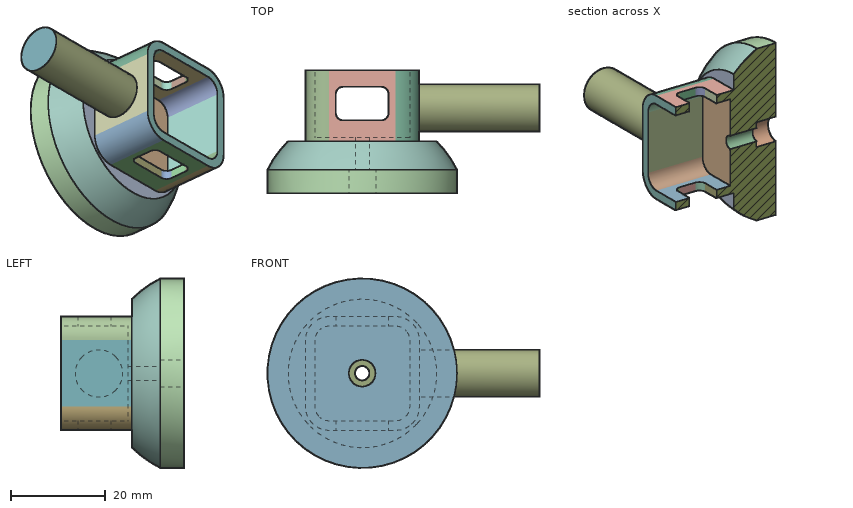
import cadquery as cq
import math

base_diameter = 40.0
base_radius = base_diameter / 2
rim_thickness = 5.0
dome_top_radius = 15.65
dome_top_y = 11.0

total_depth = 26.0
block_width = 24.0
block_corner_radius = 5.0
block_wall = 2.0
cavity_width = block_width - 2 * block_wall
cavity_corner_radius = block_corner_radius - block_wall

window_width = 11.05
window_front_y = 15.45
window_depth = 7.0
window_corner_radius = 1.5
cavity_floor_y = 2 * window_front_y + window_depth - total_depth

total_length = 57.35
arm_diameter = 10.0
arm_end_x = total_length - base_radius
arm_axis_y = 18.0

bore_diameter = 5.6
bore_depth = rim_thickness
screw_hole_diameter = 3.0


def rod_along_y(diameter, length):
    """Cylinder on the disc axis, running from Y = 0 towards +Y."""
    return cq.Workplane("XZ").circle(diameter / 2).extrude(-length)


def make_base():
    """Disc rim topped by a spherical zone whose centre lies on the disc axis."""
    zone_height = dome_top_y - rim_thickness
    center_below_rim = (base_radius**2 - dome_top_radius**2 - zone_height**2) / (2 * zone_height)
    sphere_radius = math.hypot(base_radius, center_below_rim)
    middle_y = rim_thickness + zone_height / 2
    middle_radius = math.sqrt(sphere_radius**2 - (center_below_rim + zone_height / 2) ** 2)
    return (
        cq.Workplane("XY")
        .lineTo(base_radius, 0)
        .lineTo(base_radius, rim_thickness)
        .threePointArc((middle_radius, middle_y), (dome_top_radius, dome_top_y))
        .lineTo(0, dome_top_y)
        .close()
        .revolve(360, (0, 0, 0), (0, 1, 0))
    )


def rounded_square_prism(width, corner_radius, start_y):
    """Square prism with rounded Y edges, running from start_y to the back of the part."""
    return (
        cq.Workplane("XZ", origin=(0, start_y, 0))
        .rect(width, width)
        .extrude(start_y - total_depth)
        .edges("|Y")
        .fillet(corner_radius)
    )


def make_arm():
    """Round arm leaving the +X side of the block, rooted at the inside of its side wall."""
    root_x = cavity_width / 2
    return (
        cq.Workplane("YZ", origin=(root_x, arm_axis_y, 0))
        .circle(arm_diameter / 2)
        .extrude(arm_end_x - root_x)
    )


def make_window():
    """Rounded rectangular opening passing through both block walls along Z."""
    return (
        cq.Workplane("XY", origin=(0, window_front_y + window_depth / 2, 0))
        .rect(window_width, window_depth)
        .extrude(block_width / 2, both=True)
        .edges("|Z")
        .fillet(window_corner_radius)
    )


block = rounded_square_prism(block_width, block_corner_radius, dome_top_y)
cavity = rounded_square_prism(cavity_width, cavity_corner_radius, cavity_floor_y)

bore = rod_along_y(bore_diameter, bore_depth)
screw_hole = rod_along_y(screw_hole_diameter, total_depth)

body = make_base().union(block).union(make_arm())
result = body.cut(cavity).cut(make_window()).cut(bore).cut(screw_hole)